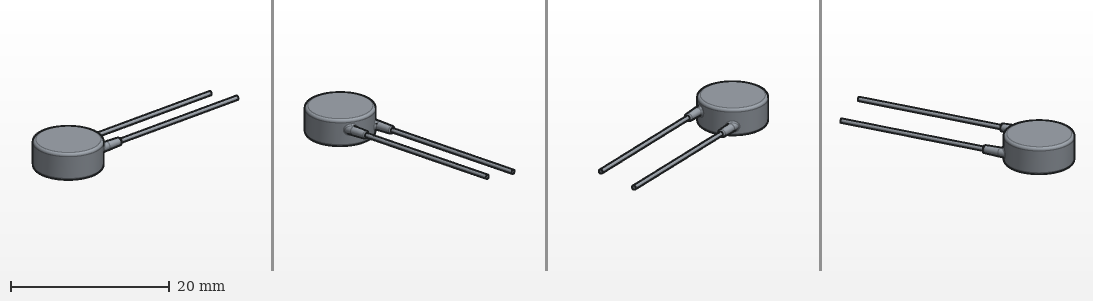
import cadquery as cq

body_diameter = 9.0
body_height = 3.8
body_edge_radius = 0.4

lead_spacing = 5.0
lead_stagger = 1.0
wire_diameter = 0.6
wire_exposed_length = 20.0

sleeve_root_diameter = 1.2
sleeve_tip_diameter = 1.05
sleeve_projection = 2.0
sleeve_taper_length = 2.2
sleeve_edge_radius = 0.2
sleeve_root_radius = 0.2

body_radius = body_diameter / 2
sleeve_end_y = body_radius + sleeve_projection
sleeve_taper_start_y = sleeve_end_y - sleeve_taper_length
wire_end_y = sleeve_end_y + wire_exposed_length

lead_start_y = body_radius / 2


def make_body():
    """Round disc with both rims rounded."""
    disc = cq.Workplane("XY").cylinder(body_height, body_radius)
    return disc.faces("|Z").edges().fillet(body_edge_radius)


def rod_along_y(x, z, diameter, end_y):
    """Round rod from inside the body to end_y."""
    length = end_y - lead_start_y
    start = cq.Vector(x, lead_start_y, z)
    rod = cq.Solid.makeCylinder(diameter / 2, length, start, cq.Vector(0, 1, 0))
    return cq.Workplane(obj=rod)


def make_sleeve(x, z):
    """Lead sleeve: straight at the root, then tapering to a rounded free end."""
    root = rod_along_y(x, z, sleeve_root_diameter, sleeve_taper_start_y)
    taper = cq.Solid.makeCone(
        sleeve_root_diameter / 2,
        sleeve_tip_diameter / 2,
        sleeve_taper_length,
        cq.Vector(x, sleeve_taper_start_y, z),
        cq.Vector(0, 1, 0),
    )
    sleeve = root.union(cq.Workplane(obj=taper))
    return sleeve.faces(">Y").edges().fillet(sleeve_edge_radius)


def round_sleeve_roots(part):
    """Blend the curves where the sleeves meet the side of the body."""
    half_height = body_height / 2 - body_edge_radius
    root_zone = cq.selectors.BoxSelector(
        (-body_radius, lead_start_y, -half_height),
        (body_radius, body_radius, half_height),
        boundingbox=True,
    )
    return part.edges(root_zone).fillet(sleeve_root_radius)


lead_positions = [(side * lead_spacing / 2, side * lead_stagger / 2) for side in (-1, 1)]

result = make_body()
for lead_x, lead_z in lead_positions:
    result = result.union(make_sleeve(lead_x, lead_z))

result = round_sleeve_roots(result)

for lead_x, lead_z in lead_positions:
    result = result.union(rod_along_y(lead_x, lead_z, wire_diameter, wire_end_y))